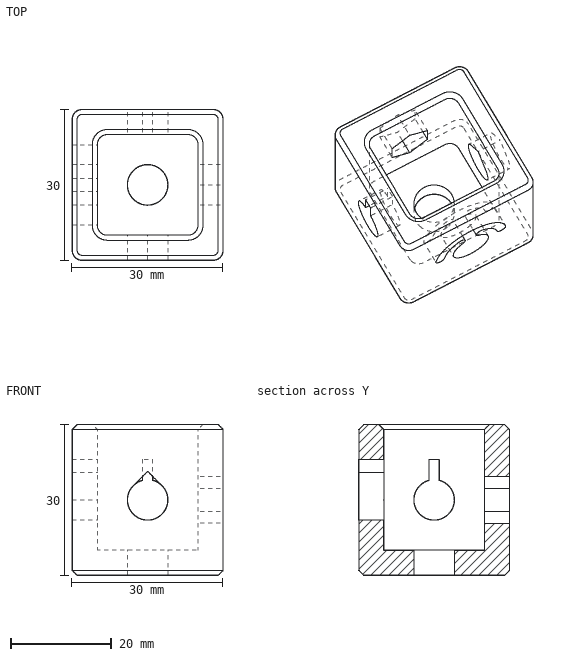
import cadquery as cq
import math

size = 30.0
module = size / 30
half = size / 2
wall = 5 * module
edge_chamfer = module
corner_radius = 2 * module
cavity_width = size - 2 * wall
hole_radius = 4 * module

keyway_width = 2 * module
keyway_top = 8 * module

slot_outer_radius = 8 * module
slot_inner_radius = 6 * module
finger_tip_angle = 27.0


def polar(radius, angle):
    """Point at an angle in degrees, measured from the first axis."""
    return radius * math.cos(math.radians(angle)), radius * math.sin(math.radians(angle))


def ring_sector(inner_radius, outer_radius, start, end, plane, depth):
    """Solid sector of a ring between two angles."""
    middle = (start + end) / 2
    return (
        plane.moveTo(*polar(outer_radius, start))
        .threePointArc(polar(outer_radius, middle), polar(outer_radius, end))
        .lineTo(*polar(inner_radius, end))
        .threePointArc(polar(inner_radius, middle), polar(inner_radius, start))
        .close()
        .extrude(depth)
    )


def make_body():
    """Cube with rounded upright edges and chamfered ends, open at the top."""
    body = cq.Workplane("XY").box(size, size, size)
    body = body.edges("|Z").fillet(corner_radius)
    body = body.faces("<Z or >Z").chamfer(edge_chamfer)
    cavity = (
        cq.Workplane("XY", origin=(0, 0, wall - half))
        .rect(cavity_width, cavity_width)
        .extrude(size - wall)
        .edges("|Z")
        .fillet(corner_radius)
    )
    reach = cavity_width / 2 + edge_chamfer / 2
    inside = cq.selectors.BoxSelector(
        (-reach, -reach, half - edge_chamfer),
        (reach, reach, half + edge_chamfer),
    )
    body = body.cut(cavity)
    return body.faces(">Z").edges(inside).chamfer(edge_chamfer)


def make_floor_hole():
    return cq.Workplane("XY", origin=(0, 0, -half)).circle(hole_radius).extrude(wall)


def make_front_hole():
    """Teardrop through the -Y wall, with a right-angled roof."""
    plane = cq.Workplane("XZ", origin=(0, wall - half, 0))
    left = polar(hole_radius, 135)
    right = polar(hole_radius, 45)
    return (
        plane.moveTo(*left)
        .threePointArc((0, -hole_radius), right)
        .lineTo(0, hole_radius * math.sqrt(2))
        .close()
        .extrude(wall)
    )


def make_back_hole():
    """Round hole with a keyway above it, through the +Y wall."""
    plane = cq.Workplane("XZ", origin=(0, half, 0))
    bore = plane.circle(hole_radius).extrude(wall)
    keyway = plane.center(0, keyway_top / 2).rect(keyway_width, keyway_top).extrude(wall)
    return bore.union(keyway)


def make_hex_hole():
    """Hexagon through the +X wall, with a corner pointing up."""
    corner_distance = hole_radius / math.cos(math.radians(30))
    corners = [polar(corner_distance, 30 + 60 * i) for i in range(6)]
    return cq.Workplane("YZ", origin=(half - wall, 0, 0)).polyline(corners).close().extrude(wall)


def make_latch_hole():
    """Round hole joined to a curved slot, leaving two rounded fingers, through the -X wall."""
    plane = cq.Workplane("YZ", origin=(-half, 0, 0))
    bore = plane.circle(hole_radius).extrude(wall)

    slot_end_radius = (slot_outer_radius - slot_inner_radius) / 2
    slot_middle_radius = slot_inner_radius + slot_end_radius
    slot_end_angle = math.degrees(math.asin(slot_end_radius / slot_middle_radius))
    slot = ring_sector(
        slot_inner_radius, slot_outer_radius, slot_end_angle, 180 - slot_end_angle, plane, wall
    )

    tip_radius = (slot_inner_radius - hole_radius) / 2
    tip_middle_radius = hole_radius + tip_radius
    tip_angle = 90 - finger_tip_angle
    neck = ring_sector(hole_radius, slot_inner_radius, tip_angle, 180 - tip_angle, plane, wall)

    for angle in (slot_end_angle, 180 - slot_end_angle):
        end = plane.center(*polar(slot_middle_radius, angle)).circle(slot_end_radius).extrude(wall)
        slot = slot.union(end)
    for angle in (tip_angle, 180 - tip_angle):
        tip = plane.center(*polar(tip_middle_radius, angle)).circle(tip_radius).extrude(wall)
        neck = neck.cut(tip)
    return bore.union(slot).union(neck)


result = make_body()
for opening in (
    make_floor_hole(),
    make_front_hole(),
    make_back_hole(),
    make_hex_hole(),
    make_latch_hole(),
):
    result = result.cut(opening)